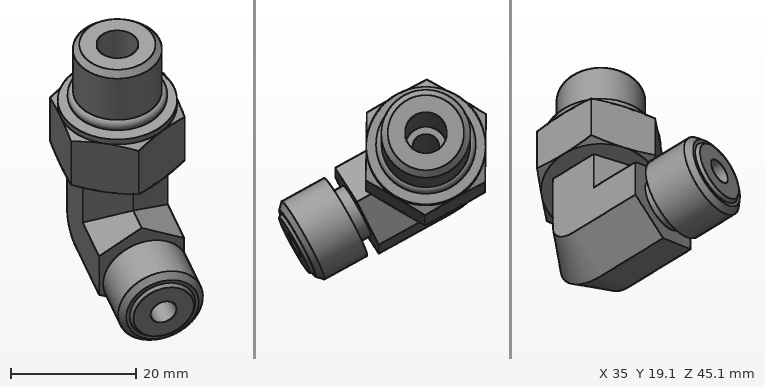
import cadquery as cq
import math

total_length = 35.05
total_height = 45.1

body_flats = 14.3
body_corner = body_flats / math.sqrt(3)
arm_length = 12.6

thread_radius = 7.12
thread_chamfer = 1.0
thread_tip_radius = 6.1
port_top = total_height - body_corner
port_neck_radius = 4.4

nut_flats = 19.05
nut_corner = nut_flats / math.sqrt(3)
nut_bottom = 13.52
nut_top = 23.9
nut_chamfer_radius = nut_flats / 2
nut_chamfer_height = 0.55
washer_top = 24.97
ring_thickness = 2.05
ring_outer_radius = 8.0

side_neck_radius = 4.6
side_thread_start = 14.7
side_lip_length = 0.6
side_lip_base_radius = 5.5
side_lip_tip_radius = 5.05
side_end = total_length - nut_corner

bore_radius = 2.15
counterbore_radius = 3.35
counterbore_depth = 13.52


def hex_prism(flats, start, length):
    """Vertical hexagon with corners on the X axis."""
    corner_diameter = 2 * flats / math.sqrt(3)
    return cq.Workplane("XY").workplane(offset=start).polygon(6, corner_diameter).extrude(length)


def cylinder(radius, start, length):
    """Vertical cylinder on the Z axis."""
    return cq.Workplane("XY").workplane(offset=start).circle(radius).extrude(length)


def to_side(shape):
    """Turn a shape built along +Z so that it lies along +X."""
    return shape.rotate((0, 0, 0), (0, 1, 0), 90)


def turned(points):
    """Revolve a (radius, height) outline about the Z axis."""
    return cq.Workplane("XZ").polyline(points).close().revolve(360, (0, 0, 0), (0, 1, 0))


def elbow_body():
    """Two arms joined by half the hexagon revolved about Y, rounding the outer corner."""
    arm = hex_prism(body_flats, 0, arm_length)
    corner = (
        cq.Workplane("XY")
        .polyline([
            (0, -body_flats / 2),
            (body_corner / 2, -body_flats / 2),
            (body_corner, 0),
            (body_corner / 2, body_flats / 2),
            (0, body_flats / 2),
        ])
        .close()
        .revolve(360, (0, 0, 0), (0, 1, 0))
    )
    return arm.union(to_side(arm)).union(corner)


def nut():
    rise = nut_chamfer_height
    envelope = turned([
        (0, nut_bottom),
        (nut_chamfer_radius, nut_bottom),
        (nut_corner, nut_bottom + rise),
        (nut_corner, nut_top - rise),
        (nut_chamfer_radius, nut_top),
        (0, nut_top),
    ])
    return hex_prism(nut_flats, nut_bottom, nut_top - nut_bottom).intersect(envelope)


def port_end():
    stem = turned([
        (0, 0),
        (port_neck_radius, 0),
        (port_neck_radius, nut_bottom),
        (thread_radius, nut_bottom),
        (thread_radius, port_top - thread_chamfer),
        (thread_tip_radius, port_top),
        (0, port_top),
    ])
    washer = cylinder(nut_flats / 2, nut_top, washer_top - nut_top)
    tube_radius = ring_thickness / 2
    ring_radius = ring_outer_radius - tube_radius
    ring = (
        cq.Workplane("XZ")
        .center(ring_radius, washer_top + tube_radius)
        .circle(tube_radius)
        .revolve(360, (-ring_radius, 0, 0), (-ring_radius, 1, 0))
    )
    return stem.union(washer).union(ring)


def side_port():
    shoulder = side_end - side_lip_length
    return to_side(turned([
        (0, 0),
        (side_neck_radius, 0),
        (side_neck_radius, side_thread_start),
        (thread_radius, side_thread_start),
        (thread_radius, shoulder - thread_chamfer),
        (thread_tip_radius, shoulder),
        (side_lip_base_radius, shoulder),
        (side_lip_tip_radius, side_end),
        (0, side_end),
    ]))


def passage():
    upper = cylinder(bore_radius, 0, port_top)
    side = to_side(cylinder(bore_radius, -bore_radius, side_end + bore_radius))
    counterbore = cylinder(counterbore_radius, port_top - counterbore_depth, counterbore_depth)
    return upper.union(side).union(counterbore)


result = elbow_body().union(port_end()).union(nut()).union(side_port()).cut(passage())